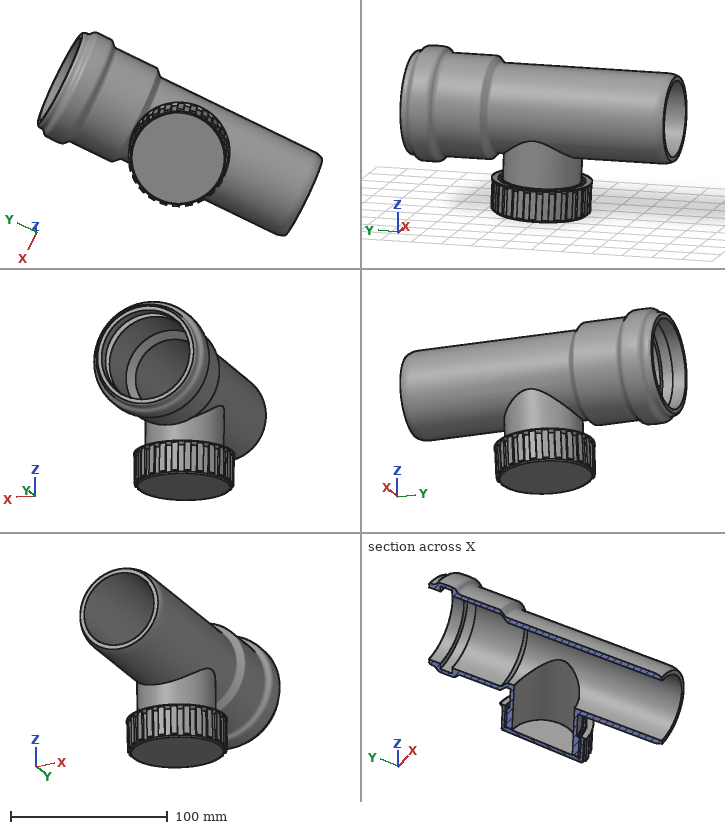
import cadquery as cq
import math

TOTAL_LENGTH = 173.3
MOUTH_Y = TOTAL_LENGTH / 2
TIP_Y = -TOTAL_LENGTH / 2
PIPE_RADIUS = 58.0 / 2
PIPE_BORE_RADIUS = 49.0 / 2
TIP_RADIUS = 27.4
TIP_ROUND_LENGTH = 6.4

SOCKET_RADIUS = 66.5 / 2
MOUTH_RADIUS = 32.0
MOUTH_BULGE = 0.3
NECK_RADIUS = 33.6
NECK_DEPTH = 2.6
BEAD_FRONT_RADIUS = 35.2
BEAD_FRONT_DEPTH = 5.7
BEAD_RADIUS = 36.9
BEAD_CREST_RADIUS = 74.3 / 2
BEAD_START = 8.3
BEAD_END = 17.8
BEAD_BACK_RADIUS = 35.0
BEAD_BACK_DEPTH = 21.0
SOCKET_START = 25.1

SHOULDER_START = 52.3
SHOULDER_ROUND_LENGTH = 1.0
PIPE_ROUND_LENGTH = 1.5
ROUND_DROP_RATIO = math.tan(math.radians(45 / 2))

SOCKET_BORE_RADIUS = 58.7 / 2
GROOVE_RADIUS = 67.6 / 2
GROOVE_START = 8.7
GROOVE_END = 17.3
SOCKET_BORE_DEPTH = 53.7

BRANCH_TILT = 2.5
BRANCH_Y = -0.3
BRANCH_RADIUS = 50.3 / 2
BRANCH_BORE_RADIUS = 44.5 / 2
BRANCH_FLARE_RADIUS = 51.6 / 2
COLLAR_RADIUS = 54.0 / 2
COLLAR_RECESS = 1.0

CAP_TOP = -45.0
CAP_HEIGHT = 21.3
CAP_BOTTOM = CAP_TOP - CAP_HEIGHT
CAP_FLOOR_THICKNESS = 3.5
CAP_FLOOR_TOP = CAP_BOTTOM + CAP_FLOOR_THICKNESS
CAP_BORE_RADIUS = 56.0 / 2
CAP_RADIUS = 60.8 / 2
CAP_CHAMFER_WIDTH = 0.9
CAP_CHAMFER_HEIGHT = 1.0
FLANGE_RADIUS = 32.2
FLANGE_EDGE_HEIGHT = 0.3
FLANGE_HEIGHT = 2.5

RIB_COUNT = 24
RIB_PITCH = 360 / RIB_COUNT
RIB_PHASE = 6.0
RIB_WIDTH = 4.2
RIB_FACE_RADIUS = 31.7
RIB_ROOT_RADIUS = 29.5
RIB_TOP_DEPTH = 0.9
RIB_BOTTOM_DEPTH = 19.5
RIB_TOP = CAP_TOP - RIB_TOP_DEPTH
RIB_BOTTOM = CAP_TOP - RIB_BOTTOM_DEPTH


def pipe_point(radius, depth):
    """Point of the pipe's half section at a distance behind the socket mouth."""
    return radius, MOUTH_Y - depth


def make_pipe_outside():
    shoulder_radius = SOCKET_RADIUS - SHOULDER_ROUND_LENGTH * ROUND_DROP_RATIO
    shoulder_foot_radius = PIPE_RADIUS + PIPE_ROUND_LENGTH * ROUND_DROP_RATIO
    cone_start = SHOULDER_START + SHOULDER_ROUND_LENGTH
    cone_end = cone_start + shoulder_radius - shoulder_foot_radius
    profile = (
        cq.Workplane("XY")
        .moveTo(0, TIP_Y)
        .lineTo(*pipe_point(0, 0))
        .lineTo(*pipe_point(MOUTH_RADIUS, 0))
        .threePointArc(
            pipe_point(
                (MOUTH_RADIUS + NECK_RADIUS) / 2 + MOUTH_BULGE,
                NECK_DEPTH / 2 - MOUTH_BULGE,
            ),
            pipe_point(NECK_RADIUS, NECK_DEPTH),
        )
        .tangentArcPoint(pipe_point(BEAD_FRONT_RADIUS, BEAD_FRONT_DEPTH), relative=False)
        .tangentArcPoint(pipe_point(BEAD_RADIUS, BEAD_START), relative=False)
        .threePointArc(
            pipe_point(BEAD_CREST_RADIUS, (BEAD_START + BEAD_END) / 2),
            pipe_point(BEAD_RADIUS, BEAD_END),
        )
        .tangentArcPoint(pipe_point(BEAD_BACK_RADIUS, BEAD_BACK_DEPTH), relative=False)
        .tangentArcPoint(pipe_point(SOCKET_RADIUS, SOCKET_START), relative=False)
        .lineTo(*pipe_point(SOCKET_RADIUS, SHOULDER_START))
        .tangentArcPoint(pipe_point(shoulder_radius, cone_start), relative=False)
        .lineTo(*pipe_point(shoulder_foot_radius, cone_end))
        .tangentArcPoint(pipe_point(PIPE_RADIUS, cone_end + PIPE_ROUND_LENGTH), relative=False)
        .lineTo(PIPE_RADIUS, TIP_Y + TIP_ROUND_LENGTH)
        .tangentArcPoint((TIP_RADIUS, TIP_Y), relative=False)
        .close()
    )
    return profile.revolve(360, (0, 0, 0), (0, 1, 0))


def make_pipe_bore():
    seat_length = SOCKET_BORE_RADIUS - PIPE_BORE_RADIUS
    outline = [
        pipe_point(0, 0),
        pipe_point(SOCKET_BORE_RADIUS, 0),
        pipe_point(SOCKET_BORE_RADIUS, GROOVE_START),
        pipe_point(GROOVE_RADIUS, GROOVE_START),
        pipe_point(GROOVE_RADIUS, GROOVE_END),
        pipe_point(SOCKET_BORE_RADIUS, GROOVE_END),
        pipe_point(SOCKET_BORE_RADIUS, SOCKET_BORE_DEPTH),
        pipe_point(PIPE_BORE_RADIUS, SOCKET_BORE_DEPTH + seat_length),
        (PIPE_BORE_RADIUS, TIP_Y),
        (0, TIP_Y),
    ]
    return cq.Workplane("XY").polyline(outline).close().revolve(360, (0, 0, 0), (0, 1, 0))


def revolve_about_branch(outline):
    """Turn a (radius, height) outline about the still upright branch axis."""
    return cq.Workplane("XZ").polyline(outline).close().revolve(360, (0, 0, 0), (0, 1, 0))


def place_on_branch(shape):
    """Tilt an upright shape and move it to where the branch meets the pipe axis."""
    return shape.rotate((0, 0, 0), (1, 0, 0), BRANCH_TILT).translate((0, BRANCH_Y, 0))


def make_branch_outside():
    collar_top = CAP_TOP - COLLAR_RECESS
    flare_height = BRANCH_FLARE_RADIUS - BRANCH_RADIUS
    outline = [
        (0, 0),
        (BRANCH_RADIUS, 0),
        (BRANCH_RADIUS, collar_top + flare_height),
        (BRANCH_FLARE_RADIUS, collar_top),
        (COLLAR_RADIUS, collar_top),
        (COLLAR_RADIUS, CAP_FLOOR_TOP),
        (0, CAP_FLOOR_TOP),
    ]
    return place_on_branch(revolve_about_branch(outline))


def make_branch_bore():
    bore = cq.Workplane("XY").circle(BRANCH_BORE_RADIUS).extrude(CAP_FLOOR_TOP)
    return place_on_branch(bore)


def make_tee():
    outside = make_pipe_outside().union(make_branch_outside())
    return outside.cut(make_pipe_bore()).cut(make_branch_bore())


def make_cap_shell():
    outline = [
        (0, CAP_BOTTOM),
        (CAP_RADIUS - CAP_CHAMFER_WIDTH, CAP_BOTTOM),
        (CAP_RADIUS, CAP_BOTTOM + CAP_CHAMFER_HEIGHT),
        (CAP_RADIUS, CAP_TOP - FLANGE_HEIGHT),
        (FLANGE_RADIUS, CAP_TOP - FLANGE_EDGE_HEIGHT),
        (FLANGE_RADIUS, CAP_TOP),
        (CAP_BORE_RADIUS, CAP_TOP),
        (CAP_BORE_RADIUS, CAP_FLOOR_TOP),
        (0, CAP_FLOOR_TOP),
    ]
    return revolve_about_branch(outline)


def make_rib(angle):
    """One grip rib, turned by an angle from the -Y side towards +X."""
    rib = cq.Workplane("XY").box(
        RIB_WIDTH,
        RIB_FACE_RADIUS - RIB_ROOT_RADIUS,
        RIB_TOP - RIB_BOTTOM,
    )
    centre_y = -(RIB_FACE_RADIUS + RIB_ROOT_RADIUS) / 2
    rib = rib.translate((0, centre_y, (RIB_TOP + RIB_BOTTOM) / 2))
    return rib.rotate((0, 0, 0), (0, 0, 1), angle)


def make_cap():
    cap = make_cap_shell()
    for index in range(RIB_COUNT):
        cap = cap.union(make_rib(RIB_PHASE + index * RIB_PITCH))
    return place_on_branch(cap)


tee = make_tee()
cap = make_cap()
result = cq.Compound.makeCompound([tee.solids().val(), cap.solids().val()])